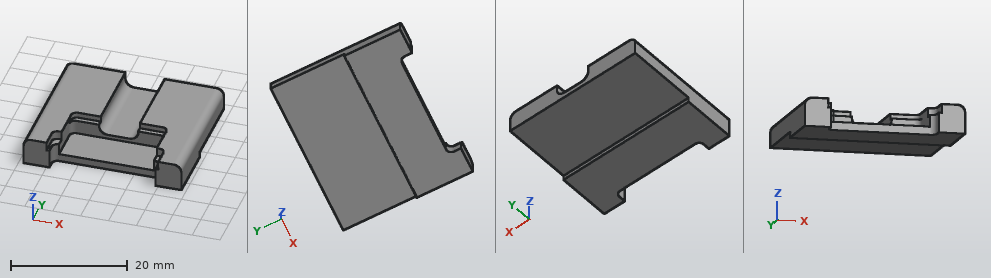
import cadquery as cq

WIDTH = 28.3
LENGTH = 24.7
HEIGHT = 5.0
SIDE_RADIUS = 1.4

FOOT_LENGTH = 10.7
UNDERSIDE_RISE = 1.0

GROOVE_WIDTH = 7.02
GROOVE_FLOOR_Z = 2.2
GROOVE_RADIUS = 1.55

POCKET_WIDTH = 17.05
POCKET_BACK_Y = 9.4
POCKET_FLOOR_Z = 1.45
POCKET_LEDGE_Y = 10.41
POCKET_LEDGE_Z = 4.0

OPENING_WIDTH = 19.02
OPENING_BACK_Y = 2.38
OPENING_LEDGE_WIDTH = 20.0
OPENING_LEDGE_Y = 3.95
OPENING_LEDGE_Z = 3.45

CORNER_RADIUS = 1.0


def front_recess(width, back_y, floor_z):
    """Cutter open at the front and top, with rounded back corners."""
    return (
        cq.Workplane("XY", origin=(0, 0, floor_z))
        .rect(width, 2 * back_y)
        .extrude(HEIGHT - floor_z)
        .edges("|Z and >Y")
        .fillet(CORNER_RADIUS)
    )


def make_body():
    """Block with rounded upper sides and a raised rear underside."""
    block = (
        cq.Workplane("XY")
        .box(WIDTH, LENGTH, HEIGHT, centered=(True, False, False))
        .edges("|Y and >Z")
        .fillet(SIDE_RADIUS)
    )
    underside_step = (
        cq.Workplane("XY", origin=(0, FOOT_LENGTH, 0))
        .box(WIDTH, LENGTH - FOOT_LENGTH, UNDERSIDE_RISE, centered=(True, False, False))
    )
    return block.cut(underside_step)


def make_groove():
    """Full-length groove cutter with rounded lower corners."""
    return (
        cq.Workplane("XY", origin=(0, 0, GROOVE_FLOOR_Z))
        .box(GROOVE_WIDTH, LENGTH, HEIGHT - GROOVE_FLOOR_Z, centered=(True, False, False))
        .edges("|Y and <Z")
        .fillet(GROOVE_RADIUS)
    )


def make_pocket(back_y, floor_z):
    """Pocket-width cutter that starts within the front opening."""
    return front_recess(POCKET_WIDTH, back_y, floor_z)


result = (
    make_body()
    .cut(make_groove())
    .cut(make_pocket(POCKET_BACK_Y, POCKET_FLOOR_Z))
    .cut(make_pocket(POCKET_LEDGE_Y, POCKET_LEDGE_Z))
    .cut(front_recess(OPENING_WIDTH, OPENING_BACK_Y, 0))
    .cut(front_recess(OPENING_LEDGE_WIDTH, OPENING_LEDGE_Y, OPENING_LEDGE_Z))
)